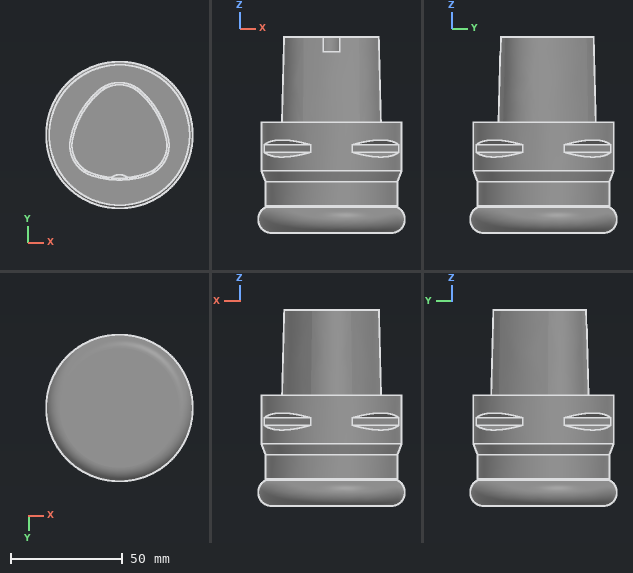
import cadquery as cq
import math

total_height = 88.0
collar_top = 49.8
collar_bottom = 27.9
neck_top = 23.1
base_top = 12.3

collar_diameter = 63.0
neck_diameter = 59.3
base_diameter = 65.9
rim_radius = 6.2

lobe_reach = 23.5
side_reach = 20.2
lobe_radius = 14.3
lobe_count = 3
first_lobe_angle = 90.0
taper_angle = math.degrees(math.atan(1 / 40))

notch_radius = 5.5
notch_floor_reach = 17.8
notch_depth = 6.6

slot_count = 4
first_slot_angle = 45.0
slot_floor_reach = 27.9
slot_floor_height = 3.3
slot_center_z = 37.9
slot_mouth_height = 7.7

lobe_center_reach = lobe_reach - lobe_radius
half_pitch = math.pi / lobe_count
reach_gap = side_reach - lobe_radius
lobe_offset_along_side = lobe_center_reach * math.cos(half_pitch)
side_center_reach = (lobe_center_reach**2 - reach_gap**2) / (2 * (reach_gap - lobe_offset_along_side))
side_radius = side_center_reach + side_reach
tangent_angle = math.atan2(
    lobe_center_reach * math.sin(half_pitch),
    side_center_reach + lobe_offset_along_side,
)
tangent_reach_along_side = side_radius * math.cos(tangent_angle) - side_center_reach
tangent_half_width = side_radius * math.sin(tangent_angle)
tangent_reach = math.hypot(tangent_reach_along_side, tangent_half_width)
tangent_spread = math.degrees(half_pitch - math.atan2(tangent_half_width, tangent_reach_along_side))


def polar_point(reach, angle):
    """Point at a distance from the axis and an angle in degrees from +X."""
    return (reach * math.cos(math.radians(angle)), reach * math.sin(math.radians(angle)))


def make_shank():
    """Three-lobed shank that narrows toward its top."""
    pitch = 360 / lobe_count
    outline = cq.Workplane("XY", origin=(0, 0, collar_top))
    outline = outline.moveTo(*polar_point(tangent_reach, first_lobe_angle - tangent_spread))
    for index in range(lobe_count):
        lobe_angle = first_lobe_angle + index * pitch
        outline = outline.threePointArc(
            polar_point(lobe_reach, lobe_angle),
            polar_point(tangent_reach, lobe_angle + tangent_spread),
        )
        outline = outline.threePointArc(
            polar_point(side_reach, lobe_angle + pitch / 2),
            polar_point(tangent_reach, lobe_angle + pitch - tangent_spread),
        )
    return outline.close().extrude(total_height - collar_top, taper=taper_angle)


def make_notch():
    """Round-bottomed cutter for the notch on the -Y side of the shank top."""
    return (
        cq.Workplane("XY", origin=(0, -notch_floor_reach - notch_radius, total_height - notch_depth))
        .circle(notch_radius)
        .extrude(notch_depth)
    )


def make_slot(angle):
    """Straight slot cutter across the collar, flaring outward from its flat floor."""
    mouth_reach = collar_diameter / 2
    floor_half = slot_floor_height / 2
    mouth_half = slot_mouth_height / 2
    return (
        cq.Workplane("XZ")
        .moveTo(slot_floor_reach, slot_center_z - floor_half)
        .lineTo(mouth_reach, slot_center_z - mouth_half)
        .lineTo(mouth_reach, slot_center_z + mouth_half)
        .lineTo(slot_floor_reach, slot_center_z + floor_half)
        .close()
        .extrude(collar_diameter / 2, both=True)
        .rotate((0, 0, 0), (0, 0, 1), angle)
    )


def make_holder():
    """Collar and neck with the shank on top."""
    holder = (
        cq.Workplane("XZ")
        .moveTo(0, base_top)
        .lineTo(neck_diameter / 2, base_top)
        .lineTo(neck_diameter / 2, neck_top)
        .lineTo(collar_diameter / 2, collar_bottom)
        .lineTo(collar_diameter / 2, collar_top)
        .lineTo(0, collar_top)
        .close()
        .revolve(360, (0, 0, 0), (0, 1, 0))
    )
    holder = holder.union(make_shank()).cut(make_notch())
    for index in range(slot_count):
        holder = holder.cut(make_slot(first_slot_angle + index * 360 / slot_count))
    return holder


def make_base():
    """Disc with a full round rim and a short step that meets the neck."""
    rim_center = base_diameter / 2 - rim_radius
    neck_radius = neck_diameter / 2
    step_bottom = rim_radius + math.sqrt(rim_radius**2 - (neck_radius - rim_center) ** 2)
    return (
        cq.Workplane("XZ")
        .lineTo(rim_center, 0)
        .threePointArc((base_diameter / 2, rim_radius), (neck_radius, step_bottom))
        .lineTo(neck_radius, base_top)
        .lineTo(0, base_top)
        .close()
        .revolve(360, (0, 0, 0), (0, 1, 0))
    )


holder = make_holder()
base = make_base()

result = cq.Compound.makeCompound([holder.solids().val(), base.solids().val()])